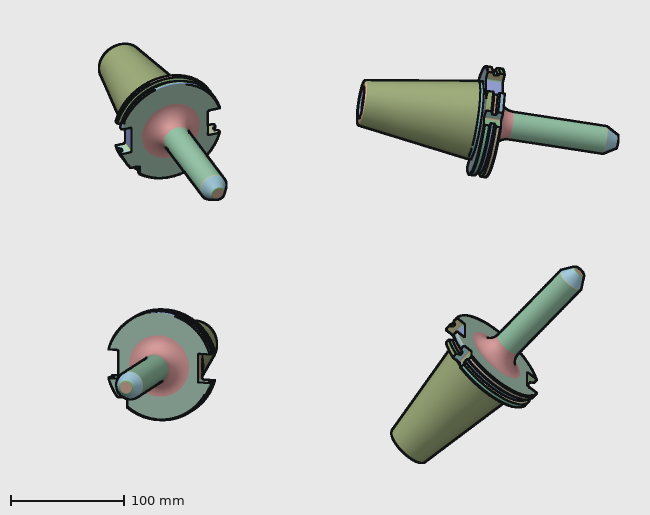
import cadquery as cq
import math

length = 231.5

taper_end_x = 100.5
taper_end_radius = 35.0
taper_slope = 7 / 24 / 2
taper_start_radius = taper_end_radius - taper_slope * taper_end_x
taper_nose_fillet = 1.9

relief_depth = 0.2
relief_ramp = 1.5
relief_fillet = 1.2
relief_radius = taper_end_radius - relief_depth

flange_start_x = 105.0
flange_end_x = 120.5
flange_diameter = 97.5
flange_radius = flange_diameter / 2
flange_fillet = 1.0
groove_center_x = 112.8
groove_floor_width = 3.0
groove_depth = 2.8
groove_half_angle = 30
groove_top_width = groove_floor_width + 2 * groove_depth * math.tan(math.radians(groove_half_angle))

slot_width = 25.7
slot_floor_front = 37.8
slot_floor_back = 35.2
notch_offset = 29.6
pocket_fillet = 1.6

stem_radius = 12.5
stem_blend_radius = 15.0
tip_length = 11.3
tip_half_angle = 30
tip_fillet = 1.5

mouth_radius = 14.4
mouth_chamfer = 0.5
pilot_radius = 12.5
pilot_start_x = 2.8
pilot_end_x = 7.2
thread_radius = 12.0
thread_start_x = 8.0
thread_end_x = 10.7
core_radius = 10.2
core_start_x = 13.5
core_end_x = 60.2
drill_point_half_angle = 59


def revolve_about_x(profile):
    return profile.close().revolve(360, (0, 0, 0), (1, 0, 0))


def make_taper():
    profile = (
        cq.Workplane("XY")
        .lineTo(0, taper_start_radius)
        .lineTo(taper_end_x, taper_end_radius)
        .lineTo(taper_end_x + relief_ramp, relief_radius)
        .lineTo(flange_start_x - relief_fillet, relief_radius)
        .radiusArc((flange_start_x, relief_radius + relief_fillet), -relief_fillet)
        .lineTo(flange_start_x, 0)
    )
    return revolve_about_x(profile).faces("<X").edges().fillet(taper_nose_fillet)


def make_flange():
    width = flange_end_x - flange_start_x
    disc = (
        cq.Workplane("YZ", origin=(flange_start_x, 0, 0))
        .circle(flange_radius)
        .extrude(width)
        .edges()
        .fillet(flange_fillet)
    )
    floor_radius = flange_radius - groove_depth
    groove = revolve_about_x(
        cq.Workplane("XY")
        .moveTo(groove_center_x - groove_top_width / 2, flange_radius)
        .lineTo(groove_center_x - groove_floor_width / 2, floor_radius)
        .lineTo(groove_center_x + groove_floor_width / 2, floor_radius)
        .lineTo(groove_center_x + groove_top_width / 2, flange_radius)
    )
    return disc.cut(groove)


def make_pocket(y_floor, y_outside, z_low, z_high, rounded_edges):
    """Box through the flange, rounded along its inner corners."""
    return (
        cq.Workplane("XY")
        .box(flange_end_x - flange_start_x, abs(y_outside - y_floor), z_high - z_low)
        .edges(rounded_edges)
        .fillet(pocket_fillet)
        .translate(
            (
                (flange_start_x + flange_end_x) / 2,
                (y_floor + y_outside) / 2,
                (z_low + z_high) / 2,
            )
        )
    )


def make_stem():
    tip_x = length - tip_length
    end_radius = stem_radius - tip_length * math.tan(math.radians(tip_half_angle))
    profile = (
        cq.Workplane("XY")
        .moveTo(flange_end_x, 0)
        .lineTo(flange_end_x, stem_radius + stem_blend_radius)
        .radiusArc((flange_end_x + stem_blend_radius, stem_radius), -stem_blend_radius)
        .lineTo(tip_x, stem_radius)
        .lineTo(length, end_radius)
        .lineTo(length, 0)
    )
    tip_edges = cq.selectors.BoxSelector(
        (tip_x - tip_fillet, -flange_radius, -flange_radius),
        (length + tip_fillet, flange_radius, flange_radius),
        boundingbox=True,
    )
    return revolve_about_x(profile).edges(tip_edges).edges("%CIRCLE").fillet(tip_fillet)


def make_bore():
    point_length = core_radius / math.tan(math.radians(drill_point_half_angle))
    profile = (
        cq.Workplane("XY")
        .lineTo(0, mouth_radius)
        .lineTo(mouth_chamfer, mouth_radius - mouth_chamfer)
        .lineTo(pilot_start_x, pilot_radius)
        .lineTo(pilot_end_x, pilot_radius)
        .lineTo(thread_start_x, thread_radius)
        .lineTo(thread_end_x, thread_radius)
        .lineTo(core_start_x, core_radius)
        .lineTo(core_end_x, core_radius)
        .lineTo(core_end_x + point_length, 0)
    )
    return revolve_about_x(profile)


outside = 2 * flange_radius
half_slot = slot_width / 2
flange = make_flange()
flange = flange.cut(make_pocket(-slot_floor_front, -outside, -half_slot, half_slot, "|X and >Y"))
flange = flange.cut(make_pocket(slot_floor_back, outside, -half_slot, half_slot, "|X and <Y"))
flange = flange.cut(make_pocket(-notch_offset, -outside, -outside, -notch_offset, "|X and >Y and >Z"))

result = make_taper().union(flange).union(make_stem()).cut(make_bore())